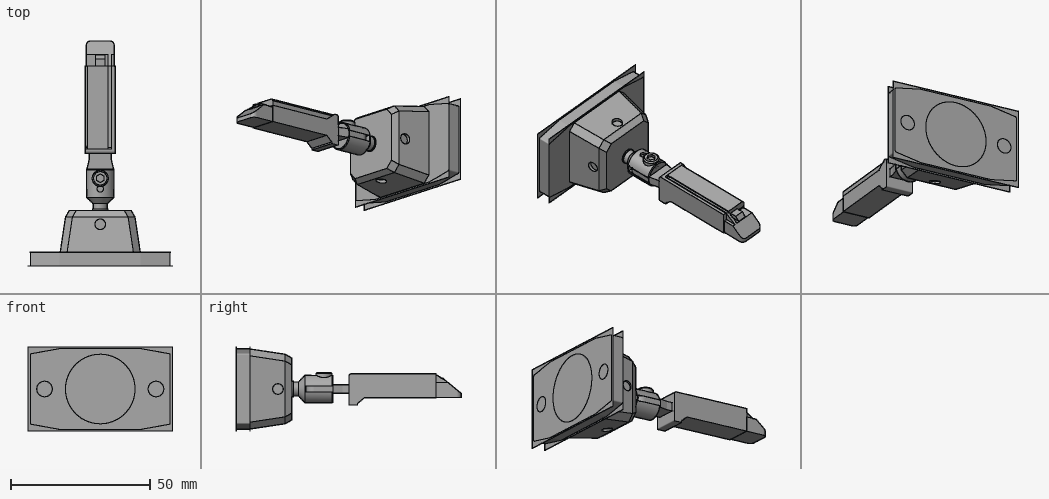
import cadquery as cq

PLATE_LENGTH = 50.2
PLATE_HEIGHT = 29.0
PLATE_END_HEIGHT = 25.2
PLATE_FLAT_LENGTH = 29.2
PLATE_THICKNESS = 5.0
PLATE_END_FILLET = 0.5
LIP_THICKNESS = 0.1
LIP_HEIGHT = 30.16
FRONT_LIP_LENGTH = 52.0
REAR_LIP_LENGTH = 50.4

MAGNET_RADIUS = 12.5
FOOT_DISC_DEPTH = 3.0
PLUG_RADIUS = 2.8
PLUG_OFFSET = 20.0

HOUSING_FOOT_SIZE = 28.8
HOUSING_SHOULDER_SIZE = 25.0
HOUSING_TOP_SIZE = 22.2
HOUSING_CORNER = 2.5
HOUSING_SHOULDER_Y = 17.6
HOUSING_TOP_Y = 20.0
SIDE_HOLE_RADIUS = 1.9
SIDE_HOLE_Y = 15.0
SIDE_HOLE_FLOOR = 11.9

STUD_RADIUS = 2.6
STUD_COLLAR_RADIUS = 2.8
STUD_COLLAR_HEIGHT = 0.5
STUD_TOP_Y = 22.4

SOCKET_RADIUS = 5.0
SOCKET_CONE_TOP_Y = 24.7
SOCKET_TOP_Y = 34.8
SOCKET_CHAMFER = 0.35
DIMPLE_RADIUS = 1.15
DIMPLE_Y = 27.7
DIMPLE_DEPTH = 1.0

SCREW_Y = 31.5
SCREW_HEAD_RADIUS = 2.9
SCREW_SEAT_Z = 3.0
SCREW_TOP_Z = 6.0
SCREW_CHAMFER = 0.5
HEX_CORNER_DIAMETER = 3.1
HEX_DEPTH = 1.0

BLADE_THICKNESS = 3.2
BLADE_WIDTH = 8.0
BLADE_END_Y = 75.8
BLADE_STRAIGHT_Y = 38.3
NECK_FLARE_WIDTH = 9.6
TANG_THICKNESS = 2.2
TANG_WIDTH = 10.0
TANG_END_Y = 25.1
TANG_CORNER_RADIUS = 3.0

HANDLE_WIDTH = 10.8
HANDLE_BOTTOM_Z = -3.2
SEAM_Z = 2.9
HEAD_FRONT_Y = 40.4
HEAD_STEP_Y = 43.6
HEAD_REAR_Y = 46.0
HEAD_TOP_REAR_Y = 42.1
HEAD_BOTTOM_Z = -5.8
HEAD_TAPER_Z = -5.2
HEAD_TOP_Z = 5.5
HEAD_TOP_FILLET = 0.9
HEAD_BOTTOM_FILLET = 0.35
HANDLE_REAR_Y = 71.8

RAIL_INNER_X = 2.85
GROOVE_OUTER_X = 4.0
GROOVE_DEPTH = 0.3

TIP_WIDTH = 10.1
TIP_BOTTOM_Z = -3.1
TIP_TOP_Z = 2.4
TIP_SLOPE_Y = 76.0
TIP_END_Y = 80.8
TIP_END_Z = -1.6
TIP_CORNER_RADIUS = 1.6

LATCH_HALF_WIDTH = 1.75
LATCH_TOP_Z = 3.9
LATCH_END_Y = 74.3

COVER_CHAMFER = 0.9


def plane_at_y(y):
    """Work plane facing +Y, with local x along -X and local y along Z."""
    return cq.Workplane(cq.Plane(origin=(0, y, 0), xDir=(-1, 0, 0), normal=(0, 1, 0)))


def box(x_range, y_range, z_range):
    size = [high - low for low, high in (x_range, y_range, z_range)]
    corner = (x_range[0], y_range[0], z_range[0])
    return cq.Workplane("XY").box(*size, centered=False).translate(corner)


def side_profile(points, x_low, x_high):
    """Extrude a (Y, Z) outline from x_low to x_high."""
    return cq.Workplane("YZ", origin=(x_low, 0, 0)).polyline(points).close().extrude(x_high - x_low)


def frustum(size_low, corner_low, y_low, size_high, corner_high, y_high):
    """Loft between two squares with cut corners."""
    def outline(size, corner):
        half = size / 2
        inner = half - corner
        return [(half, inner), (inner, half), (-inner, half), (-half, inner),
                (-half, -inner), (-inner, -half), (inner, -half), (half, -inner)]

    lower = plane_at_y(y_low).polyline(outline(size_low, corner_low)).close()
    upper = lower.workplane(offset=y_high - y_low).polyline(outline(size_high, corner_high)).close()
    return upper.loft(ruled=True, combine=True)


def make_plate():
    end_x = PLATE_LENGTH / 2
    flat_x = PLATE_FLAT_LENGTH / 2
    top_z = PLATE_HEIGHT / 2
    end_z = PLATE_END_HEIGHT / 2
    outline = [(end_x, end_z), (flat_x, top_z), (-flat_x, top_z), (-end_x, end_z),
               (-end_x, -end_z), (-flat_x, -top_z), (flat_x, -top_z), (end_x, -end_z)]
    plate = plane_at_y(0).polyline(outline).close().extrude(PLATE_THICKNESS)
    plate = plate.edges("|Y and (<X or >X)").fillet(PLATE_END_FILLET)
    front_lip = plane_at_y(0).rect(FRONT_LIP_LENGTH, LIP_HEIGHT).extrude(LIP_THICKNESS)
    rear_lip_y = PLATE_THICKNESS - LIP_THICKNESS
    rear_lip = plane_at_y(rear_lip_y).rect(REAR_LIP_LENGTH, LIP_HEIGHT).extrude(LIP_THICKNESS)
    return plate.union(front_lip).union(rear_lip)


def make_housing():
    skirt = frustum(HOUSING_FOOT_SIZE, HOUSING_CORNER, PLATE_THICKNESS,
                    HOUSING_SHOULDER_SIZE, HOUSING_CORNER, HOUSING_SHOULDER_Y)
    crown = frustum(HOUSING_SHOULDER_SIZE, HOUSING_CORNER, HOUSING_SHOULDER_Y,
                    HOUSING_TOP_SIZE, HOUSING_CORNER, HOUSING_TOP_Y)
    housing = skirt.union(crown)
    hole = (cq.Workplane("XY", origin=(0, SIDE_HOLE_Y, SIDE_HOLE_FLOOR))
            .circle(SIDE_HOLE_RADIUS).extrude(HOUSING_FOOT_SIZE))
    for turn in range(4):
        housing = housing.cut(hole.rotate((0, 0, 0), (0, 1, 0), 90 * turn))
    return housing


def make_foot_disc(x, radius):
    return plane_at_y(0).center(x, 0).circle(radius).extrude(FOOT_DISC_DEPTH)


magnet = make_foot_disc(0, MAGNET_RADIUS)
plugs = [make_foot_disc(x, PLUG_RADIUS) for x in (-PLUG_OFFSET, PLUG_OFFSET)]
base = make_plate().union(make_housing())
for disc in [magnet, *plugs]:
    base = base.cut(disc)


def make_stud():
    collar = plane_at_y(HOUSING_TOP_Y).circle(STUD_COLLAR_RADIUS).extrude(STUD_COLLAR_HEIGHT)
    shank = plane_at_y(HOUSING_TOP_Y).circle(STUD_RADIUS).extrude(STUD_TOP_Y - HOUSING_TOP_Y)
    return collar.union(shank)


def make_blade():
    tang = box((-TANG_WIDTH / 2, TANG_WIDTH / 2), (TANG_END_Y, SOCKET_TOP_Y),
               (-TANG_THICKNESS / 2, TANG_THICKNESS / 2))
    tang = tang.edges("|Z and <Y").fillet(TANG_CORNER_RADIUS)
    flare_x = NECK_FLARE_WIDTH / 2
    strip_x = BLADE_WIDTH / 2
    outline = [(-flare_x, SOCKET_TOP_Y), (flare_x, SOCKET_TOP_Y), (strip_x, BLADE_STRAIGHT_Y),
               (strip_x, BLADE_END_Y), (-strip_x, BLADE_END_Y), (-strip_x, BLADE_STRAIGHT_Y)]
    strip = cq.Workplane("XY").polyline(outline).close().extrude(BLADE_THICKNESS / 2, both=True)
    return tang.union(strip)


def make_screw_head():
    return (cq.Workplane("XY", origin=(0, SCREW_Y, SCREW_SEAT_Z))
            .circle(SCREW_HEAD_RADIUS).extrude(SCREW_TOP_Z - SCREW_SEAT_Z))


def make_screw():
    hexagon = (cq.Workplane("XY", origin=(0, SCREW_Y, SCREW_TOP_Z - HEX_DEPTH))
               .transformed(rotate=(0, 0, 90))
               .polygon(6, HEX_CORNER_DIAMETER).extrude(HEX_DEPTH))
    return make_screw_head().faces(">Z").chamfer(SCREW_CHAMFER).cut(hexagon)


def make_socket():
    profile = [(0, STUD_TOP_Y), (STUD_RADIUS, STUD_TOP_Y), (SOCKET_RADIUS, SOCKET_CONE_TOP_Y),
               (SOCKET_RADIUS, SOCKET_TOP_Y - SOCKET_CHAMFER),
               (SOCKET_RADIUS - SOCKET_CHAMFER, SOCKET_TOP_Y), (0, SOCKET_TOP_Y)]
    barrel = cq.Workplane("XY").polyline(profile).close().revolve(360, (0, 0, 0), (0, 1, 0))
    slot = box((-SOCKET_RADIUS, SOCKET_RADIUS), (TANG_END_Y, SOCKET_TOP_Y),
               (-TANG_THICKNESS / 2, TANG_THICKNESS / 2))
    dimple = (cq.Workplane("XY", origin=(0, DIMPLE_Y, SOCKET_RADIUS - DIMPLE_DEPTH))
              .circle(DIMPLE_RADIUS).extrude(DIMPLE_DEPTH))
    return barrel.cut(slot).cut(dimple).cut(make_screw_head())


def make_handle_head():
    """Raised front end, tapering down to the grip below and to the seam above."""
    outline = [(HEAD_FRONT_Y, HEAD_BOTTOM_Z), (HEAD_STEP_Y, HEAD_BOTTOM_Z),
               (HEAD_STEP_Y, HEAD_TAPER_Z), (HEAD_REAR_Y, HANDLE_BOTTOM_Z),
               (HEAD_REAR_Y, SEAM_Z), (HEAD_TOP_REAR_Y, HEAD_TOP_Z), (HEAD_FRONT_Y, HEAD_TOP_Z)]
    head = side_profile(outline, -HANDLE_WIDTH / 2, HANDLE_WIDTH / 2)
    head = head.edges("|X and <Y and >Z").fillet(HEAD_TOP_FILLET)
    return head.edges("|X and <Y and <Z").fillet(HEAD_BOTTOM_FILLET)


def make_rail():
    """Raised rail beside the cover, grooved along it, with a tail running down to the tip."""
    groove_z = HEAD_TOP_Z - GROOVE_DEPTH
    run = (HEAD_TOP_REAR_Y, HANDLE_REAR_Y)
    rail = box((RAIL_INNER_X, HANDLE_WIDTH / 2), run, (SEAM_Z, HEAD_TOP_Z))
    groove = box((RAIL_INNER_X, GROOVE_OUTER_X), run, (groove_z, HEAD_TOP_Z))
    tail = [(HANDLE_REAR_Y, TIP_TOP_Z), (TIP_SLOPE_Y, TIP_TOP_Z), (HANDLE_REAR_Y, groove_z)]
    return rail.cut(groove).union(side_profile(tail, RAIL_INNER_X, GROOVE_OUTER_X))


def make_tip():
    outline = [(HANDLE_REAR_Y, TIP_BOTTOM_Z), (TIP_END_Y, TIP_BOTTOM_Z), (TIP_END_Y, TIP_END_Z),
               (TIP_SLOPE_Y, TIP_TOP_Z), (HANDLE_REAR_Y, TIP_TOP_Z)]
    tip = side_profile(outline, -TIP_WIDTH / 2, TIP_WIDTH / 2)
    return tip.edges("|Z and >Y").fillet(TIP_CORNER_RADIUS)


def make_latch():
    outline = [(HANDLE_REAR_Y, TIP_TOP_Z), (LATCH_END_Y + LATCH_TOP_Z - TIP_TOP_Z, TIP_TOP_Z),
               (LATCH_END_Y, LATCH_TOP_Z), (HANDLE_REAR_Y, LATCH_TOP_Z)]
    return side_profile(outline, -LATCH_HALF_WIDTH, LATCH_HALF_WIDTH)


def make_handle(blade):
    grip = box((-HANDLE_WIDTH / 2, HANDLE_WIDTH / 2), (HEAD_STEP_Y, HANDLE_REAR_Y),
               (HANDLE_BOTTOM_Z, SEAM_Z))
    handle = make_handle_head().union(grip)
    for feature in (make_rail(), make_tip(), make_latch()):
        handle = handle.union(feature)
    return handle.cut(blade)


def make_cover():
    outline = [(HEAD_REAR_Y, SEAM_Z), (HANDLE_REAR_Y, SEAM_Z),
               (HANDLE_REAR_Y, HEAD_TOP_Z), (HEAD_TOP_REAR_Y, HEAD_TOP_Z)]
    cover = side_profile(outline, -HANDLE_WIDTH / 2, RAIL_INNER_X)
    return cover.edges("|Y and <X and >Z").chamfer(COVER_CHAMFER)


stud = make_stud()
socket = make_socket()
screw = make_screw()
blade = make_blade()
handle = make_handle(blade)
cover = make_cover()

result = cq.Compound.makeCompound([
    base.val(),
    magnet.val(),
    *[plug.val() for plug in plugs],
    stud.val(),
    socket.val(),
    screw.val(),
    blade.val(),
    handle.val(),
    cover.val(),
])